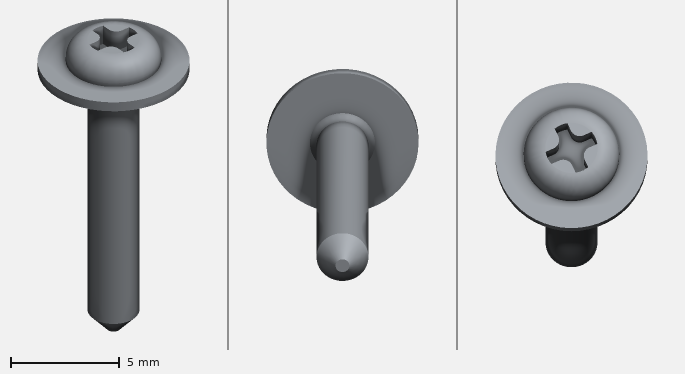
import cadquery as cq

total_length = 15.94

head_diameter = 4.4
head_height = 1.18
crown_flat_diameter = 2.4
flange_diameter = 7.0
flange_thickness = 0.5

shank_diameter = 2.39
neck_diameter = 3.0
neck_height = 0.27
tip_diameter = 0.64
tip_height = 1.0

recess_diameter = crown_flat_diameter
recess_width = 0.64
recess_corner_radius = 0.45
recess_depth = 1.0

head_radius = head_diameter / 2
crown_flat_radius = crown_flat_diameter / 2
crown_radius = head_radius - crown_flat_radius
flange_radius = flange_diameter / 2
shank_radius = shank_diameter / 2

crown_base_z = total_length - crown_radius
flange_top_z = total_length - head_height
flange_bottom_z = flange_top_z - flange_thickness
neck_bottom_z = flange_bottom_z - neck_height


def screw_body():
    """Half profile from the point up to the rounded crown, revolved about Z."""
    half_profile = (
        cq.Workplane("XZ")
        .lineTo(tip_diameter / 2, 0)
        .lineTo(shank_radius, tip_height)
        .lineTo(shank_radius, neck_bottom_z)
        .lineTo(neck_diameter / 2, flange_bottom_z)
        .lineTo(flange_radius, flange_bottom_z)
        .lineTo(flange_radius, flange_top_z)
        .lineTo(head_radius, flange_top_z)
        .lineTo(head_radius, crown_base_z)
        .radiusArc((crown_flat_radius, total_length), -crown_radius)
        .lineTo(0, total_length)
        .close()
    )
    return half_profile.revolve(360, (0, 0), (0, 1))


def cross_recess():
    """Cross-shaped cutter with rounded inner corners and ends on the crown edge."""
    floor = cq.Workplane("XY").workplane(offset=total_length - recess_depth)
    arm_x = floor.rect(recess_diameter, recess_width).extrude(recess_depth)
    arm_y = floor.rect(recess_width, recess_diameter).extrude(recess_depth)
    inner_corners = cq.selectors.BoxSelector(
        (-recess_width, -recess_width, 0),
        (recess_width, recess_width, total_length),
    )
    cross = arm_x.union(arm_y).edges("|Z").edges(inner_corners).fillet(recess_corner_radius)
    boundary = floor.circle(recess_diameter / 2).extrude(recess_depth)
    return cross.intersect(boundary)


result = screw_body().cut(cross_recess())